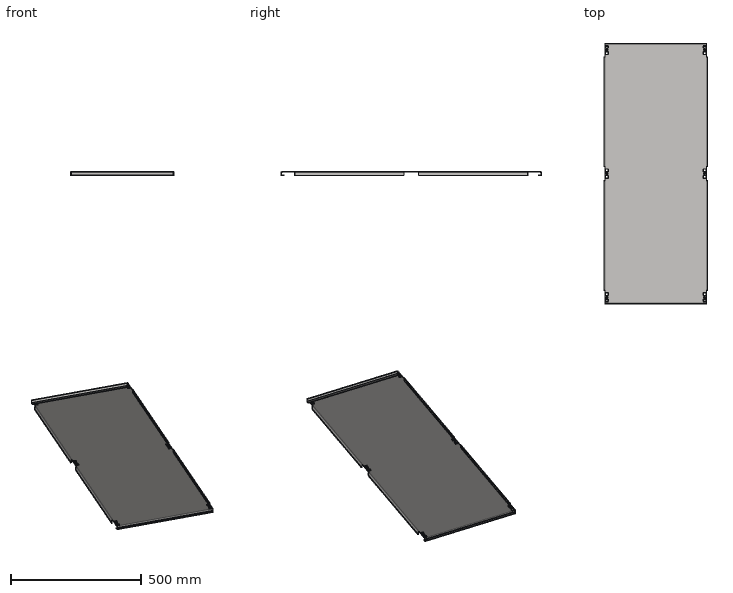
import cadquery as cq

panel_length = 1000.0
panel_width = 399.0
panel_height = 15.0
sheet = 2.0
bend_radius = 4.0

end_flange_width = 390.0
lip_depth = 12.0
lip_bend_radius = 2.5

side_flange_start = 27.0
side_flange_end = 448.0
flange_corner_chamfer = 3.0

hole_group_pitch = 475.0
hole_row_spacing = 375.0
square_hole = 9.5
square_hole_offset = 12.5
round_hole_diameter = 6.0


def folded_flange(plane, reach, length):
    """Plate edge folded straight down, with its outer face at `reach` from the origin."""
    inner_face = reach - sheet
    bend_start = reach - bend_radius
    bend_end = panel_height - bend_radius
    profile = (
        cq.Workplane(plane)
        .moveTo(bend_start, panel_height)
        .radiusArc((reach, bend_end), bend_radius)
        .lineTo(reach, 0)
        .lineTo(inner_face, 0)
        .lineTo(inner_face, bend_end)
        .radiusArc((bend_start, panel_height - sheet), -(bend_radius - sheet))
        .close()
    )
    return profile.extrude(length / 2, both=True)


def end_flange():
    """Flange at the +Y end, with a lip turned inward along its foot."""
    lip = (
        cq.Workplane("XY")
        .box(end_flange_width, lip_depth, sheet, centered=(True, True, False))
        .translate((0, (panel_length - lip_depth) / 2, 0))
    )
    flange = folded_flange("YZ", panel_length / 2, end_flange_width).union(lip)
    return flange.edges(">Y and <Z").fillet(lip_bend_radius)


def side_flange():
    """Flange on the +X side of the +Y half, with its foot chamfered next to the middle."""
    flange = folded_flange("XZ", panel_width / 2, side_flange_end - side_flange_start)
    flange = flange.translate((0, (side_flange_end + side_flange_start) / 2, 0))
    return flange.edges("<Y and <Z").chamfer(flange_corner_chamfer)


def mounting_holes():
    """Cutters for every hole group: two square holes with a round hole between them."""
    group_centres = [
        (x, y)
        for x in (-hole_row_spacing / 2, hole_row_spacing / 2)
        for y in (-hole_group_pitch, 0, hole_group_pitch)
    ]
    square_centres = [
        (x, y + offset)
        for x, y in group_centres
        for offset in (-square_hole_offset, square_hole_offset)
    ]
    return (
        cq.Workplane("XY")
        .workplane(offset=panel_height - sheet)
        .pushPoints(square_centres)
        .rect(square_hole, square_hole)
        .extrude(sheet)
        .pushPoints(group_centres)
        .circle(round_hole_diameter / 2)
        .extrude(sheet)
    )


plate = (
    cq.Workplane("XY")
    .workplane(offset=panel_height - sheet)
    .rect(panel_width - 2 * bend_radius, panel_length - 2 * bend_radius)
    .extrude(sheet)
)

end = end_flange()
panel = plate.union(end).union(end.mirror("XZ"))
side = side_flange()
for flange in (side, side.mirror("XZ")):
    panel = panel.union(flange).union(flange.mirror("YZ"))

result = panel.cut(mounting_holes())